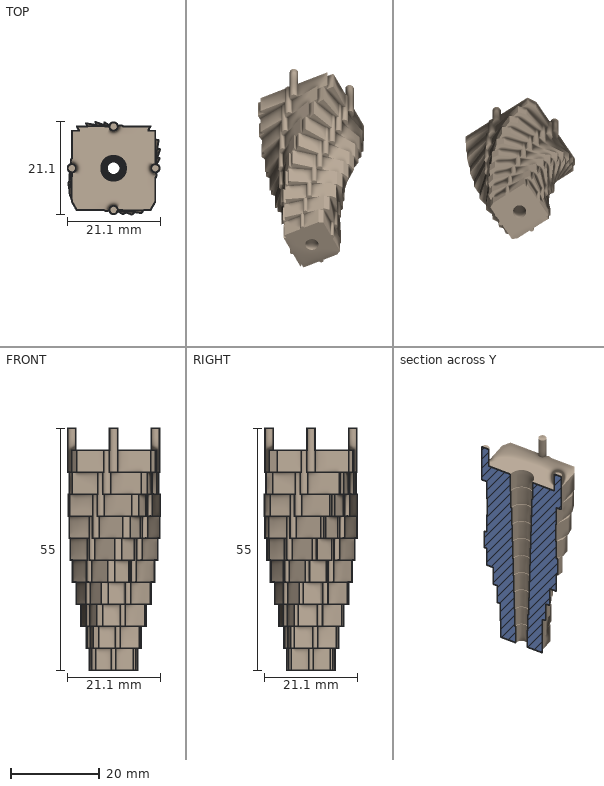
import cadquery as cq

BLOCK_COUNT = 10
BLOCK_HEIGHT = 5.0
GROWTH_PER_BLOCK = 0.1
TWIST_PER_BLOCK = 10.0

BLOCK_WIDTH = 10.0
CORNER_CUT_RADIUS = 1.0
HOLE_DIAMETER = 3.0
PIN_DIAMETER = 1.0
PIN_COUNT = 4

PIN_LENGTH = 2 * BLOCK_HEIGHT


def make_body(scale):
    """Square block with its base on the XY plane."""
    width = scale * BLOCK_WIDTH
    return cq.Workplane("XY").rect(width, width).extrude(BLOCK_HEIGHT)


def make_corner_cuts(scale):
    """Triangular prisms centred on the block corners, each with one vertex towards +X.

    They leave chamfers on the -X corners and undercut notches on the +X corners.
    """
    width = scale * BLOCK_WIDTH
    return (
        cq.Workplane("XY")
        .rect(width, width, forConstruction=True)
        .vertices()
        .polygon(3, 2 * scale * CORNER_CUT_RADIUS)
        .extrude(BLOCK_HEIGHT)
    )


def make_pins(scale):
    """Pins centred on the middle of the block sides."""
    return (
        cq.Workplane("XY")
        .polarArray(scale * BLOCK_WIDTH / 2, 0, 360, PIN_COUNT)
        .circle(scale * PIN_DIAMETER / 2)
        .extrude(PIN_LENGTH)
    )


def make_hole(scale):
    """Cutter for the central hole through one block."""
    return cq.Workplane("XY").circle(scale * HOLE_DIAMETER / 2).extrude(BLOCK_HEIGHT)


def make_level(index):
    """One block with its pins and hole, sized, twisted and lifted into place."""
    scale = 1 + GROWTH_PER_BLOCK * index
    block = make_body(scale).cut(make_corner_cuts(scale)).cut(make_hole(scale))
    level = block.union(make_pins(scale))
    twisted = level.rotate((0, 0, 0), (0, 0, 1), TWIST_PER_BLOCK * index)
    return twisted.translate((0, 0, BLOCK_HEIGHT * index))


result = make_level(0)
for level_index in range(1, BLOCK_COUNT):
    result = result.union(make_level(level_index))